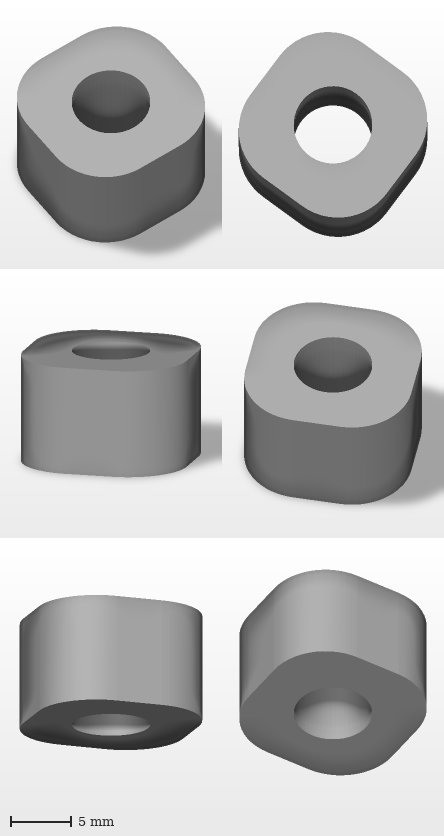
import cadquery as cq

side = 14.0
height = 9.0
corner_radius = 5.0
bore_diameter = 6.5

block = cq.Workplane("XY").box(side, side, height).edges("|Z").fillet(corner_radius)

result = block.faces(">Z").workplane().hole(bore_diameter)